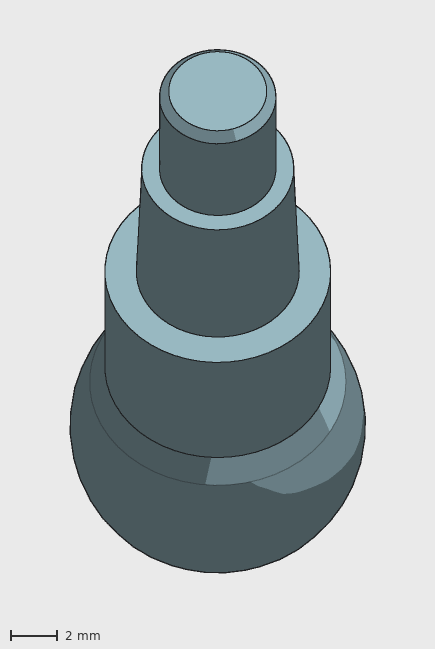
import cadquery as cq
import math

total_height = 30.7
shoulder_height = 17.6
taper_length = 7.5

ball_diameter = 12.7
collar_diameter = 9.7
cone_half_angle = math.radians(30)

taper_base_diameter = 7.0
taper_top_diameter = 6.55
pin_diameter = 5.0
pin_chamfer = 0.4


def make_housing():
    """Ball that runs through a tangent cone into a cylindrical collar."""
    ball_radius = ball_diameter / 2
    collar_radius = collar_diameter / 2
    tangent_radius = ball_radius * math.cos(cone_half_angle)
    tangent_height = ball_radius + ball_radius * math.sin(cone_half_angle)
    cone_height = (tangent_radius - collar_radius) / math.tan(cone_half_angle)
    profile = (
        cq.Workplane("XZ")
        .moveTo(0, 0)
        .threePointArc((ball_radius, ball_radius), (tangent_radius, tangent_height))
        .lineTo(collar_radius, tangent_height + cone_height)
        .lineTo(collar_radius, shoulder_height)
        .lineTo(0, shoulder_height)
        .close()
    )
    return profile.revolve(360, (0, 0, 0), (0, 1, 0))


def make_stud():
    """Tapered shank with a chamfered pin, standing on the housing shoulder."""
    pin_radius = pin_diameter / 2
    taper_top_height = shoulder_height + taper_length
    profile = (
        cq.Workplane("XZ")
        .moveTo(0, shoulder_height)
        .lineTo(taper_base_diameter / 2, shoulder_height)
        .lineTo(taper_top_diameter / 2, taper_top_height)
        .lineTo(pin_radius, taper_top_height)
        .lineTo(pin_radius, total_height - pin_chamfer)
        .lineTo(pin_radius - pin_chamfer, total_height)
        .lineTo(0, total_height)
        .close()
    )
    return profile.revolve(360, (0, 0, 0), (0, 1, 0))


housing = make_housing()
stud = make_stud()

result = cq.Compound.makeCompound([housing.val(), stud.val()])